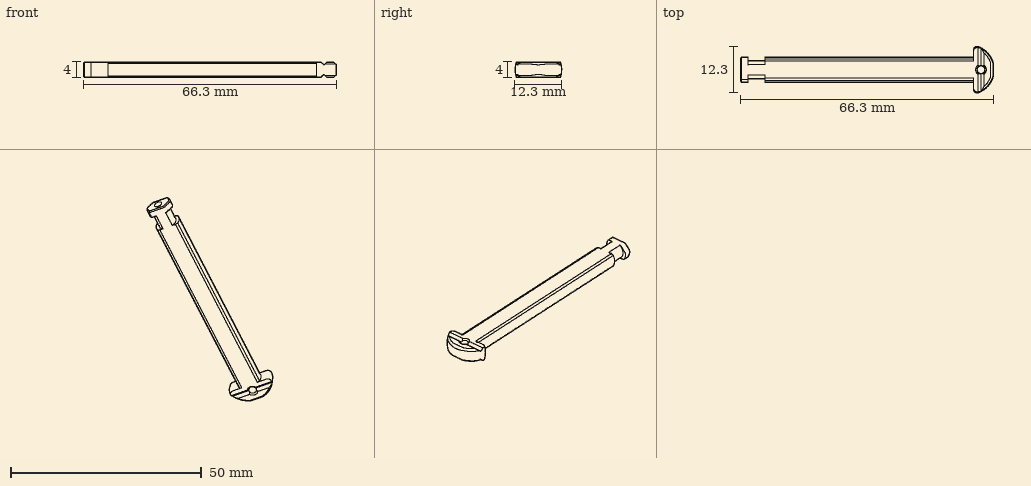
import cadquery as cq
import math

total_length = 66.25
thickness = 4.0
half_thickness = thickness / 2

shaft_radius = 3.3
shaft_edge_chamfer = 0.4
neck_radius = 2.4
collar_length = 2.0
shaft_start = 6.4
collar_cut_distance = 2.55
collar_cut_tilt = 45
collar_blend_radius = 1.0
tip_chamfer = 0.3
center_hole_diameter = 2.0
center_hole_depth = center_hole_diameter / 2

shoulder_x = 61.0
head_diameter = 12.25
head_radius = head_diameter / 2
shoulder_fillet = 1.0
dome_radius = 6.5
dome_end_fillet = 3.0
dome_edge_chamfer = 0.7
fillet_x = shoulder_x + shoulder_fillet
fillet_y = head_radius - shoulder_fillet
dome_center_x = fillet_x - math.sqrt((dome_radius - shoulder_fillet) ** 2 - fillet_y**2)

groove_x = 63.0
groove_depth = 0.75
groove_half_width = groove_depth
cross_hole_diameter = 2.0
cross_hole_mouth_radius = 1.4
mouth_taper = 45


def flat_slab(length):
    """Slab of the bar's thickness, wider than the whole part."""
    return cq.Workplane("XY").box(length, 2 * head_diameter, thickness)


def flat_sided_rod(radius, start, end):
    """Round rod along X, cut flat at the top and bottom of the bar."""
    rod = cq.Workplane("YZ").workplane(offset=start).circle(radius).extrude(end - start)
    return rod.intersect(flat_slab(2 * total_length))


def make_collar():
    """Collar with two opposite 45 degree flats, blended into the neighbouring faces."""
    collar = flat_sided_rod(shaft_radius, 0, collar_length)
    band = (
        cq.Workplane("XY")
        .box(2 * total_length, 2 * collar_cut_distance, 4 * shaft_radius)
        .rotate((0, 0, 0), (1, 0, 0), collar_cut_tilt)
    )
    collar = collar.intersect(band)
    flats = collar.faces(cq.selectors.ParallelDirSelector(cq.Vector(0, 1, 1)))
    collar = collar.newObject(flats.edges("|X").vals()).fillet(collar_blend_radius)
    return collar.faces("<X").chamfer(tip_chamfer)


def make_shaft():
    """Main length of the bar with its four long edges chamfered."""
    shaft = flat_sided_rod(shaft_radius, shaft_start, shoulder_x)
    return shaft.edges("|X").chamfer(shaft_edge_chamfer)


def head_outline():
    """Half profile of the head on the +Y side of the X axis, turned about that axis."""
    end_center_x = total_length - dome_end_fillet
    end_center_y = math.sqrt((dome_radius - dome_end_fillet) ** 2 - (end_center_x - dome_center_x) ** 2)
    shoulder_angle = math.atan2(fillet_y, fillet_x - dome_center_x)
    end_angle = math.atan2(end_center_y, end_center_x - dome_center_x)

    def arc_point(center_x, center_y, radius, angle):
        return (center_x + radius * math.cos(angle), center_y + radius * math.sin(angle))

    fillet_middle = arc_point(fillet_x, fillet_y, shoulder_fillet, (math.pi + shoulder_angle) / 2)
    dome_start = arc_point(dome_center_x, 0, dome_radius, shoulder_angle)
    dome_middle = arc_point(dome_center_x, 0, dome_radius, (shoulder_angle + end_angle) / 2)
    dome_end = arc_point(dome_center_x, 0, dome_radius, end_angle)
    end_middle = arc_point(end_center_x, end_center_y, dome_end_fillet, end_angle / 2)
    return (
        cq.Workplane("XY")
        .moveTo(shoulder_x, 0)
        .lineTo(shoulder_x, fillet_y)
        .threePointArc(fillet_middle, dome_start)
        .threePointArc(dome_middle, dome_end)
        .threePointArc(end_middle, (total_length, end_center_y))
        .lineTo(total_length, 0)
        .close()
    )


def make_head():
    """Turned head, cut flat, with chamfers along the dome beyond the groove."""
    slab_length = 2 * total_length
    slab = flat_slab(slab_length)
    turned = head_outline().revolve(360, (0, 0, 0), (1, 0, 0)).intersect(slab)

    end_block = slab.translate((total_length - slab_length / 2, 0, 0))
    end_block = end_block.faces(">X").chamfer(dome_edge_chamfer)
    disc = cq.Workplane("XY", origin=(dome_center_x, 0, 0)).circle(dome_radius)
    disc = disc.extrude(half_thickness, both=True).faces("|Z").chamfer(dome_edge_chamfer)
    dome_plate = disc.intersect(end_block)
    shoulder_side = flat_slab(2 * groove_x)
    return turned.intersect(dome_plate.union(shoulder_side))


def cut_groove_and_hole(body):
    """V grooves across both faces of the head and the flared hole through them."""
    groove = (
        cq.Workplane("XZ")
        .polyline([
            (groove_x - groove_half_width, half_thickness),
            (groove_x, half_thickness - groove_depth),
            (groove_x + groove_half_width, half_thickness),
        ])
        .close()
        .extrude(2 * head_radius, both=True)
    )
    hole_radius = cross_hole_diameter / 2
    flare = cross_hole_mouth_radius - hole_radius
    mouth = (
        cq.Workplane("XY", origin=(groove_x, 0, half_thickness))
        .circle(cross_hole_mouth_radius)
        .extrude(-flare, taper=mouth_taper)
    )
    hole = cq.Workplane("XY", origin=(groove_x, 0, 0)).circle(hole_radius).extrude(thickness, both=True)
    for cutter in (groove, mouth):
        body = body.cut(cutter).cut(cutter.mirror("XY"))
    return body.cut(hole)


def cut_center_hole(body):
    """Conical centre hole in the tip."""
    cone = cq.Solid.makeCone(
        center_hole_diameter / 2, 0, center_hole_depth,
        pnt=cq.Vector(0, 0, 0), dir=cq.Vector(1, 0, 0),
    )
    return body.cut(cq.Workplane(cone))


neck = flat_sided_rod(neck_radius, collar_length, shaft_start)
result = make_collar().union(neck).union(make_shaft()).union(make_head())
result = cut_center_hole(cut_groove_and_hole(result))